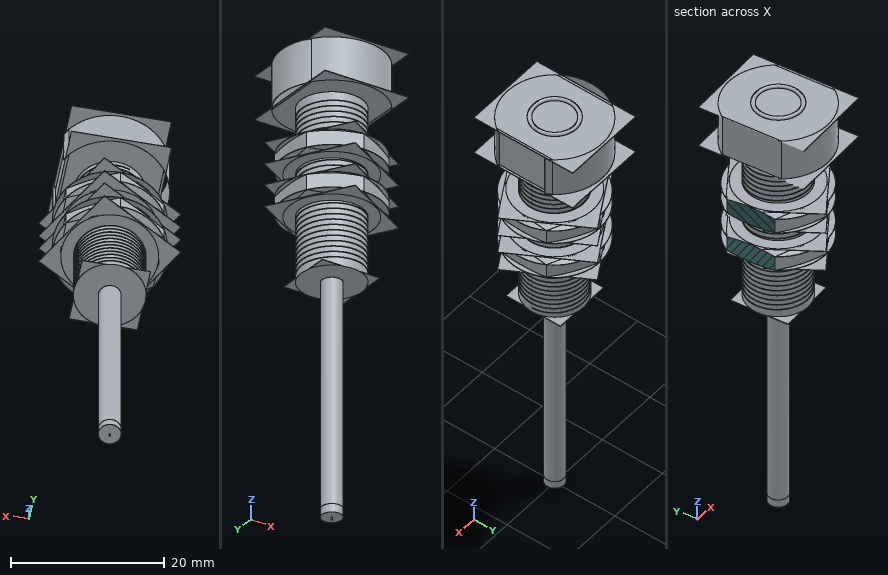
import cadquery as cq
import math

nib_length = 0.35
tip_length = 1.25
cable_length = 34.8
sleeve_length = 25.75
head_height = 6.5
overall_height = 67.75

cable_end_z = nib_length
cable_start_z = cable_end_z + tip_length
sleeve_bottom_z = cable_end_z + cable_length
head_bottom_z = sleeve_bottom_z + sleeve_length
head_top_z = head_bottom_z + head_height

sheet_thickness = 0.05

cable_diameter = 3.0
nib_diameter = 0.15

thread_diameter = 9.5
thread_pitch = 0.8
thread_depth = 0.06
groove_half_width = 0.05
groove_overcut = 0.02
thread_runout = 0.75
sleeve_sheet_side = 9.1

head_diameter = 15.7
head_across_flats = 12.6
head_sheet_x = 13.3
head_sheet_y = 16.5
skin_end_x = 6.85
bead_mean_radius = 3.3
bead_half_width = 0.3

nut_sides = 6
nut_height = 3.25
nut_across_flats = 13.0
nut_face_diameter = 12.5
nut_chamfer_height = 0.45
nut_across_corners = nut_across_flats / math.cos(math.pi / nut_sides)
nut_outer_width = 18.04
hexagon_turn = 30
nut_sheet_turn = 30
nut_sheet_side = nut_outer_width / (
    math.cos(math.radians(nut_sheet_turn)) + math.sin(math.radians(nut_sheet_turn))
)
nut_spacing = 6.3
lower_nut_z = 44.8
nut_count = 2


def cylinder(diameter, bottom_z, height):
    return cq.Workplane("XY").workplane(offset=bottom_z).circle(diameter / 2).extrude(height)


def sheet(size_x, size_y, bottom_z):
    return cq.Workplane("XY").workplane(offset=bottom_z).rect(size_x, size_y).extrude(sheet_thickness)


def make_cable_tip():
    tip = cylinder(cable_diameter, cable_end_z, tip_length)
    nib = cylinder(nib_diameter, 0, nib_length)
    return tip.union(nib)


def make_cable():
    return cylinder(cable_diameter, cable_start_z, sleeve_bottom_z - cable_start_z)


def make_thread_groove():
    """Helical V-shaped cutter along the outer surface of the sleeve."""
    radius = thread_diameter / 2
    start_z = sleeve_bottom_z + thread_runout
    helix_height = sleeve_length - 2 * thread_runout
    helix = cq.Wire.makeHelix(thread_pitch, helix_height, radius, center=cq.Vector(0, 0, start_z))
    profile = cq.Workplane("XZ").polyline([
        (radius - thread_depth, start_z),
        (radius + groove_overcut, start_z + groove_half_width),
        (radius + groove_overcut, start_z - groove_half_width),
    ]).close()
    return profile.sweep(cq.Workplane(helix), isFrenet=True)


def make_sleeve():
    sleeve = cylinder(thread_diameter, sleeve_bottom_z, sleeve_length)
    sleeve = sleeve.cut(make_thread_groove())
    return sleeve.union(sheet(sleeve_sheet_side, sleeve_sheet_side, sleeve_bottom_z))


def make_head():
    """Round head with two flats and a raised ring on top.

    A thin curved skin closes over the -X flat and ends in short lips just past the +X flat.
    """
    barrel = cylinder(head_diameter, head_bottom_z, head_height)
    core = barrel.intersect(
        cq.Workplane("XY").workplane(offset=head_bottom_z)
        .rect(head_across_flats, head_diameter).extrude(head_height)
    )
    skin = barrel.cut(cylinder(head_diameter - 2 * sheet_thickness, head_bottom_z, head_height))
    skin = skin.intersect(
        cq.Workplane("XY").workplane(offset=head_bottom_z)
        .center(skin_end_x - head_diameter / 2, 0)
        .rect(head_diameter, head_diameter).extrude(head_height)
    )
    bead = (
        cq.Workplane("XZ")
        .moveTo(bead_mean_radius - bead_half_width, head_top_z)
        .threePointArc((bead_mean_radius, overall_height), (bead_mean_radius + bead_half_width, head_top_z))
        .close()
        .revolve(360, (0, 0, 0), (0, 1, 0))
    )
    head = core.union(skin).union(bead)
    for sheet_z in (head_bottom_z, head_top_z - sheet_thickness):
        head = head.union(sheet(head_sheet_x, head_sheet_y, sheet_z))
    return head


def make_nut(bottom_z):
    """Hexagon nut with chamfered corners, thin conical lips and a turned square sheet on each face."""
    top_z = bottom_z + nut_height
    face_radius = nut_face_diameter / 2
    corner_radius = nut_across_corners / 2
    hexagon = (
        cq.Workplane("XY").workplane(offset=bottom_z)
        .transformed(rotate=(0, 0, hexagon_turn))
        .polygon(nut_sides, nut_across_corners).extrude(nut_height)
    )
    envelope = (
        cq.Workplane("XZ")
        .polyline([
            (0, bottom_z),
            (face_radius, bottom_z),
            (corner_radius, bottom_z + nut_chamfer_height),
            (corner_radius, top_z - nut_chamfer_height),
            (face_radius, top_z),
            (0, top_z),
        ]).close()
        .revolve(360, (0, 0, 0), (0, 1, 0))
    )
    nut = hexagon.intersect(envelope)
    for face_z, inward in ((bottom_z, 1), (top_z, -1)):
        lip = (
            cq.Workplane("XZ")
            .polyline([
                (face_radius, face_z),
                (corner_radius, face_z + inward * nut_chamfer_height),
                (corner_radius, face_z + inward * (nut_chamfer_height + sheet_thickness)),
                (face_radius, face_z + inward * sheet_thickness),
            ]).close()
            .revolve(360, (0, 0, 0), (0, 1, 0))
        )
        nut = nut.union(lip)
    for sheet_z in (bottom_z, top_z - sheet_thickness):
        square = sheet(nut_sheet_side, nut_sheet_side, sheet_z)
        nut = nut.union(square.rotate((0, 0, 0), (0, 0, 1), nut_sheet_turn))
    return nut.cut(cylinder(thread_diameter, bottom_z, nut_height))


cable_tip = make_cable_tip()
cable = make_cable()
sleeve = make_sleeve()
head = make_head()
nuts = [make_nut(lower_nut_z + i * nut_spacing) for i in range(nut_count)]

result = cq.Compound.makeCompound([
    cable_tip.val(),
    cable.val(),
    sleeve.val(),
    head.val(),
    *[nut.val() for nut in nuts],
])